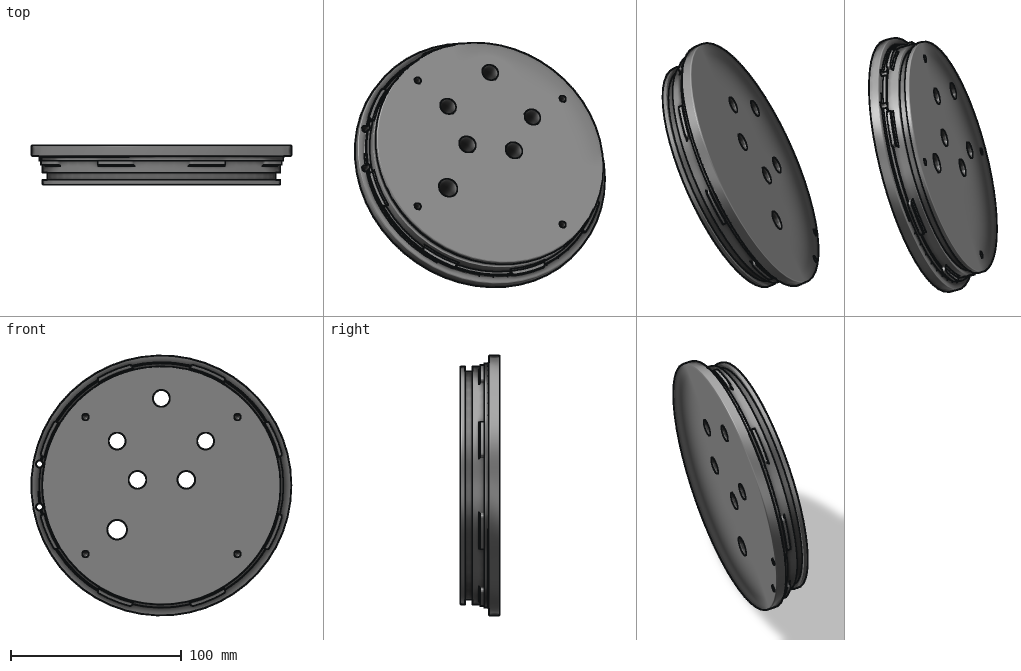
import cadquery as cq
import math

TOTAL_DEPTH = 23.18
FLANGE_DEPTH = 6.35
RING_END = 9.2
LUG_END = 11.5
GROOVE_START = 16.05
GROOVE_END = 20.35

FLANGE_RADIUS = 152.4 / 2
RING_RADIUS = 71.5
PLUG_RADIUS = 139.5 / 2
GROOVE_RADIUS = 134.06 / 2

FLANGE_FILLET = 0.8
RING_ROOT_FILLET = 0.8
NOSE_FILLET = 0.8
GROOVE_RIM_FILLET = 0.2

LUG_COUNT = 8
LUG_RADIUS = 73.0
LUG_HALF_ANGLE = 8.8
LUG_CORNER_RADIUS = 1.5
LUG_ROOT_OVERLAP = 2.0
LUG_ROOT_FILLET = 0.9

TOLERANCE = 0.01

PIN_DIAMETER = 3.96
PIN_CIRCLE_RADIUS = 72.5
PIN_ANGLE = 10.0
SCREW_DIAMETER = 3.96
SCREW_X = 44.5
SCREW_Z = 40.1
SCREW_DEPTH = 10.0
DRILL_POINT_ANGLE = 118.0

THROUGH_HOLES = [
    (9.73, [(0, 51.0), (-25.9, 26.0), (25.9, 26.0)]),
    (10.2, [(-14.0, 3.3), (14.6, 3.3)]),
    (11.33, [(-25.9, -25.9)]),
]


def front_plane(depth):
    """XZ workplane at a distance forward of the back face; extrusions run toward -Y."""
    return cq.Workplane("XZ", origin=(0, -depth, 0))


def make_body():
    """Revolve the stepped half section about the Y axis."""
    return (
        cq.Workplane("XY")
        .moveTo(0, 0)
        .lineTo(FLANGE_RADIUS - FLANGE_FILLET, 0)
        .radiusArc((FLANGE_RADIUS, -FLANGE_FILLET), FLANGE_FILLET)
        .lineTo(FLANGE_RADIUS, -(FLANGE_DEPTH - FLANGE_FILLET))
        .radiusArc((FLANGE_RADIUS - FLANGE_FILLET, -FLANGE_DEPTH), FLANGE_FILLET)
        .lineTo(RING_RADIUS + RING_ROOT_FILLET, -FLANGE_DEPTH)
        .radiusArc((RING_RADIUS, -(FLANGE_DEPTH + RING_ROOT_FILLET)), -RING_ROOT_FILLET)
        .lineTo(RING_RADIUS, -RING_END)
        .lineTo(PLUG_RADIUS, -RING_END)
        .lineTo(PLUG_RADIUS, -(GROOVE_START - GROOVE_RIM_FILLET))
        .radiusArc((PLUG_RADIUS - GROOVE_RIM_FILLET, -GROOVE_START), GROOVE_RIM_FILLET)
        .lineTo(GROOVE_RADIUS, -GROOVE_START)
        .lineTo(GROOVE_RADIUS, -GROOVE_END)
        .lineTo(PLUG_RADIUS - GROOVE_RIM_FILLET, -GROOVE_END)
        .radiusArc((PLUG_RADIUS, -(GROOVE_END + GROOVE_RIM_FILLET)), GROOVE_RIM_FILLET)
        .lineTo(PLUG_RADIUS, -(TOTAL_DEPTH - NOSE_FILLET))
        .radiusArc((PLUG_RADIUS - NOSE_FILLET, -TOTAL_DEPTH), NOSE_FILLET)
        .lineTo(0, -TOTAL_DEPTH)
        .close()
        .revolve(360, (0, 0, 0), (0, 1, 0))
    )


def polar(radius, angle):
    """(X, Z) point at a radius and an angle in degrees from +X."""
    a = math.radians(angle)
    return (radius * math.cos(a), radius * math.sin(a))


def make_lug(angle):
    """Arc-shaped lug with rounded outer corners, centred on the given angle."""
    root = PLUG_RADIUS - LUG_ROOT_OVERLAP
    start = angle - LUG_HALF_ANGLE
    end = angle + LUG_HALF_ANGLE
    outer_corners = [polar(LUG_RADIUS, a) for a in (start, end)]
    lug = (
        front_plane(RING_END)
        .moveTo(*polar(root, start))
        .lineTo(*outer_corners[0])
        .threePointArc(polar(LUG_RADIUS, angle), outer_corners[1])
        .lineTo(*polar(root, end))
        .threePointArc(polar(root, angle), polar(root, start))
        .close()
        .extrude(LUG_END - RING_END)
    )
    middle_y = -(RING_END + LUG_END) / 2
    for x, z in outer_corners:
        edge_middle = (x, middle_y, z)
        lug = lug.edges(cq.selectors.NearestToPointSelector(edge_middle)).fillet(LUG_CORNER_RADIUS)
    return lug


def is_lug_root(edge):
    """True for an edge where a lug wall meets the plug's cylinder."""
    middle = edge.positionAt(0.5)
    on_plug = abs(math.hypot(middle.x, middle.z) - PLUG_RADIUS) < TOLERANCE
    along_lug = RING_END + TOLERANCE < -middle.y < LUG_END + TOLERANCE
    return on_plug and along_lug


def through_holes(points, diameter):
    """Cylinders through the full depth at the given (X, Z) centres."""
    return front_plane(0).pushPoints(points).circle(diameter / 2).extrude(TOTAL_DEPTH)


def screw_hole(x, z):
    """Blind hole from the front face with a conical drill point."""
    radius = SCREW_DIAMETER / 2
    point_depth = radius / math.tan(math.radians(DRILL_POINT_ANGLE / 2))
    bottom = -TOTAL_DEPTH + SCREW_DEPTH
    return (
        cq.Workplane("XY", origin=(x, 0, z))
        .moveTo(0, -TOTAL_DEPTH)
        .lineTo(radius, -TOTAL_DEPTH)
        .lineTo(radius, bottom)
        .lineTo(0, bottom + point_depth)
        .close()
        .revolve(360, (0, 0, 0), (0, 1, 0))
    )


result = make_body()

lug_pitch = 360 / LUG_COUNT
for i in range(LUG_COUNT):
    result = result.union(make_lug((i + 0.5) * lug_pitch))

lug_roots = [edge for edge in result.edges().vals() if is_lug_root(edge)]
result = result.newObject(lug_roots).fillet(LUG_ROOT_FILLET)

for hole_diameter, centres in THROUGH_HOLES:
    result = result.cut(through_holes(centres, hole_diameter))

pin_centres = [polar(PIN_CIRCLE_RADIUS, 180 + side * PIN_ANGLE) for side in (-1, 1)]
result = result.cut(through_holes(pin_centres, PIN_DIAMETER))

for side_x in (-1, 1):
    for side_z in (-1, 1):
        result = result.cut(screw_hole(side_x * SCREW_X, side_z * SCREW_Z))